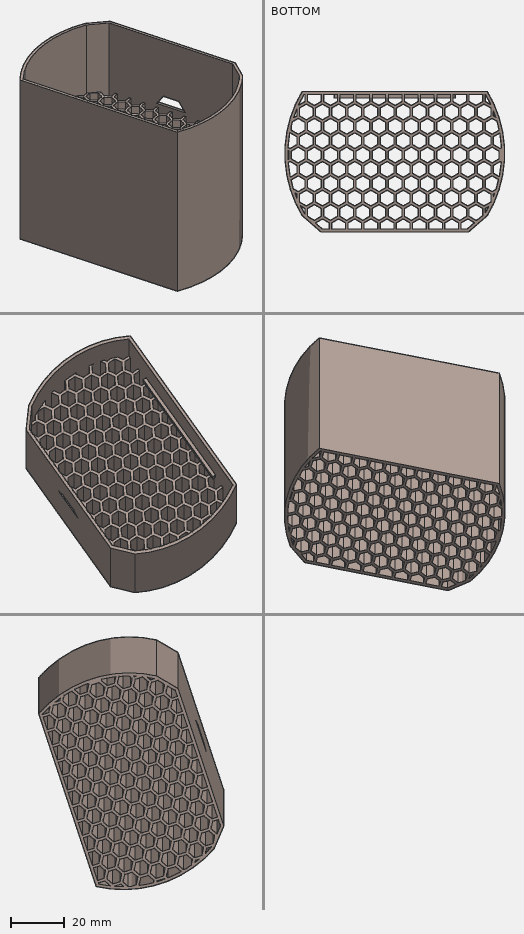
import cadquery as cq
import math

TOTAL_HEIGHT = 70.0
WIDTH = 81.7
DEPTH = 52.2
WALL = 1.2

FRONT_Y = -DEPTH / 2
REAR_Y = DEPTH / 2
FRONT_HALF_WIDTH = 34.4
REAR_HALF_WIDTH = 27.4
SIDE_END_Y = 20.0
SIDE_MID_Y = (FRONT_Y + SIDE_END_Y) / 2

COMB_HEIGHT = 40.0
CELL_FLATS = 5.0
CELL_WEB = 1.0
CELL_PITCH_X = CELL_FLATS + CELL_WEB
CELL_RADIUS = CELL_FLATS / math.sqrt(3)
ROW_PITCH = 1.5 * CELL_RADIUS + CELL_WEB
CELL_ORIGIN_X = 0.15
CELL_ORIGIN_Y = -2.5
ROWS_EACH_WAY = 5
CELLS_EACH_WAY = 7

WINDOW_BASE_WIDTH = 12.4
WINDOW_TOP_WIDTH = 6.8
WINDOW_HEIGHT = 4.0
WINDOW_SILL_Z = COMB_HEIGHT + 1.6

LEDGE_WIDTH = 45.0
LEDGE_THICKNESS = 1.3
LEDGE_HEIGHT = 4.0


def outline():
    """Closed plan outline of the outer wall."""
    return (
        cq.Workplane("XY")
        .moveTo(-FRONT_HALF_WIDTH, FRONT_Y)
        .lineTo(FRONT_HALF_WIDTH, FRONT_Y)
        .threePointArc((WIDTH / 2, SIDE_MID_Y), (FRONT_HALF_WIDTH, SIDE_END_Y))
        .lineTo(REAR_HALF_WIDTH, REAR_Y)
        .lineTo(-REAR_HALF_WIDTH, REAR_Y)
        .lineTo(-FRONT_HALF_WIDTH, SIDE_END_Y)
        .threePointArc((-WIDTH / 2, SIDE_MID_Y), (-FRONT_HALF_WIDTH, FRONT_Y))
        .close()
    )


def inner_volume(height):
    """Solid filling the space inside the wall up to the given height."""
    return outline().offset2D(-WALL, "intersection").extrude(height)


def cell_centers():
    """Centres of staggered rows of honeycomb cells."""
    centers = []
    for row in range(-ROWS_EACH_WAY, ROWS_EACH_WAY + 1):
        stagger = CELL_PITCH_X / 2 if row % 2 else 0.0
        for column in range(-CELLS_EACH_WAY, CELLS_EACH_WAY + 1):
            x = CELL_ORIGIN_X + stagger + column * CELL_PITCH_X
            y = CELL_ORIGIN_Y + row * ROW_PITCH
            centers.append((x, y))
    return centers


def cells():
    """Hexagonal cells, points along Y, trimmed to the inside of the wall."""
    hexagon = cq.Sketch().regularPolygon(CELL_RADIUS, 6)
    pattern = cq.Workplane("XY").pushPoints(cell_centers())
    prisms = pattern.placeSketch(hexagon).extrude(COMB_HEIGHT)
    return prisms.intersect(inner_volume(COMB_HEIGHT))


def window():
    """Trapezoidal prism passing through the rear wall."""
    top_z = WINDOW_SILL_Z + WINDOW_HEIGHT
    corners = [
        (-WINDOW_BASE_WIDTH / 2, WINDOW_SILL_Z),
        (WINDOW_BASE_WIDTH / 2, WINDOW_SILL_Z),
        (WINDOW_TOP_WIDTH / 2, top_z),
        (-WINDOW_TOP_WIDTH / 2, top_z),
    ]
    rear_plane = cq.Workplane("XZ", origin=(0, REAR_Y + WALL, 0))
    return rear_plane.polyline(corners).close().extrude(3 * WALL)


def ledge():
    """Straight strip along the inside of the front wall."""
    return (
        cq.Workplane("XY")
        .box(LEDGE_WIDTH, WALL + LEDGE_THICKNESS, LEDGE_HEIGHT, centered=(True, False, False))
        .translate((0, FRONT_Y, COMB_HEIGHT))
    )


upper_cavity = inner_volume(TOTAL_HEIGHT - COMB_HEIGHT).translate((0, 0, COMB_HEIGHT))
sleeve = outline().extrude(TOTAL_HEIGHT).cut(upper_cavity)
result = sleeve.cut(cells()).cut(window()).union(ledge())